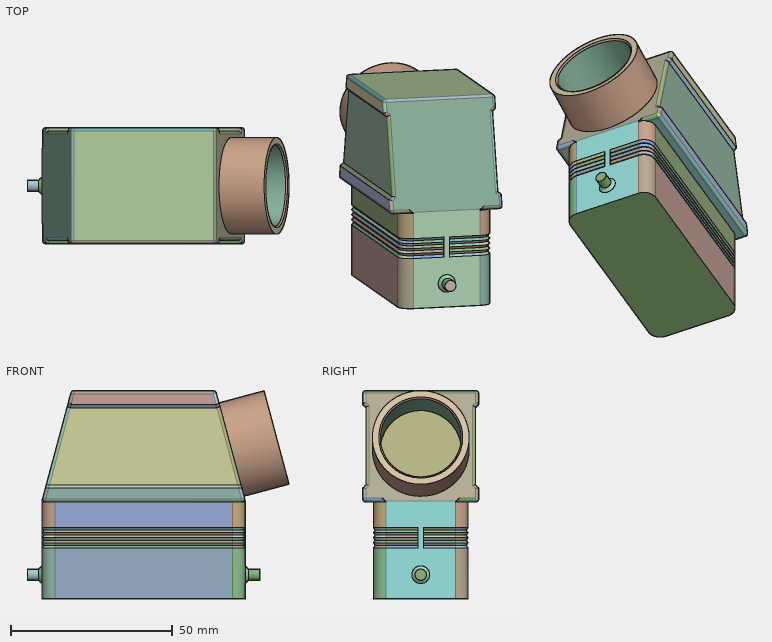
import cadquery as cq
import math

base_length = 63.0
base_width = 29.4
base_height = 30.0
base_corner_radius = 4.0

total_height = 64.5
hood_width = 36.0
hood_overhang = 0.1
slope_angle = 15.0
hood_edge_radius = 1.0
recess_depth = 1.0
recess_bottom = 34.3
recess_top = 60.2

groove_count = 4
groove_pitch = 1.575
groove_depth = 0.6
groove_bottom = 15.8
groove_gap = 1.8

pin_reach = 36.0
pin_radius = 1.75
pin_height = 7.5
collar_size = 1.0

tube_radius = 15.0
tube_end_x = 45.08
tube_end_z = 50.0
bore_radius = 12.5
bore_chamfer = 0.5

slope = math.radians(slope_angle)
hood_bottom_half = base_length / 2 + hood_overhang
hood_top_half = hood_bottom_half - (total_height - base_height) * math.tan(slope)

end_center_x = tube_end_x - tube_radius * math.sin(slope)
slope_face_x = hood_top_half + (total_height - tube_end_z) * math.tan(slope)
tube_length = (end_center_x - slope_face_x) * math.cos(slope)
tube_mouth = cq.Plane(
    origin=(end_center_x, 0, tube_end_z),
    xDir=(0, 1, 0),
    normal=(math.cos(slope), 0, math.sin(slope)),
)

overlap = 1.0


def make_base():
    """Rounded box, before the grip grooves are cut."""
    base = cq.Workplane("XY").box(base_length, base_width, base_height, centered=(True, True, False))
    return base.edges("|Z").fillet(base_corner_radius)


def hood_trapezoid():
    """Sharp-edged hood block, centred on the XZ plane."""
    return (
        cq.Workplane("XZ")
        .moveTo(-hood_bottom_half, base_height)
        .lineTo(hood_bottom_half, base_height)
        .lineTo(hood_top_half, total_height)
        .lineTo(-hood_top_half, total_height)
        .close()
        .extrude(hood_width / 2, both=True)
    )


def make_hood():
    """Trapezoid along X with a shallow recess across both Y sides and rounded edges."""
    half_width = hood_width / 2
    recess = (
        cq.Workplane("YZ")
        .moveTo(half_width, recess_bottom)
        .lineTo(half_width - recess_depth, recess_bottom + recess_depth)
        .lineTo(half_width - recess_depth, recess_top - recess_depth)
        .lineTo(half_width, recess_top)
        .close()
        .extrude(hood_bottom_half, both=True)
    )
    hood = hood_trapezoid().cut(recess).cut(recess.mirror("XZ"))
    outer_edges = hood.faces("<X or >X or <Z or >Z").edges()
    return outer_edges.fillet(hood_edge_radius)


def make_end_fill():
    """Fill under the hood's rounded lower edge, flush with the flat part of the base ends."""
    flat_half = base_width / 2 - base_corner_radius
    fill_height = 2 * hood_edge_radius
    limits = (
        cq.Workplane("YZ")
        .moveTo(-flat_half, base_height)
        .lineTo(flat_half, base_height)
        .lineTo(flat_half + fill_height, base_height + fill_height)
        .lineTo(-flat_half - fill_height, base_height + fill_height)
        .close()
        .extrude(base_length / 2, both=True)
    )
    return hood_trapezoid().intersect(limits)


def make_grooves():
    """V-section rings to cut: each is a slice of the base less a core waisted at mid-height."""
    half_pitch = groove_pitch / 2
    taper = math.degrees(math.atan2(groove_depth, half_pitch))
    outline = cq.Sketch().rect(base_length, base_width).vertices().fillet(base_corner_radius)
    sole = cq.Workplane("XY", origin=(0, 0, groove_bottom)).placeSketch(outline)
    lower_core = sole.extrude(half_pitch, taper=taper)
    upper_core = lower_core.mirror("XY", (0, 0, groove_bottom + half_pitch))
    gap_bridge = cq.Workplane("XY").box(base_length, groove_gap, 2 * base_height)
    ring = sole.extrude(groove_pitch).cut(lower_core).cut(upper_core).cut(gap_bridge)
    return [ring.translate((0, 0, index * groove_pitch)) for index in range(groove_count)]


def make_pin():
    """Pin on the -X end with a conical collar at its root."""
    root = -base_length / 2
    return (
        cq.Workplane("XZ", origin=(0, 0, pin_height))
        .moveTo(root + overlap, 0)
        .lineTo(root + overlap, pin_radius + collar_size)
        .lineTo(root, pin_radius + collar_size)
        .lineTo(root - collar_size, pin_radius)
        .lineTo(-pin_reach, pin_radius)
        .lineTo(-pin_reach, 0)
        .close()
        .revolve(360, (0, 0, 0), (1, 0, 0))
    )


def make_tube():
    """Solid tube, sunk slightly into the hood."""
    return cq.Workplane(tube_mouth).circle(tube_radius).extrude(-(tube_length + overlap))


def make_bore():
    """Bore with a chamfered mouth, ending at the hood's slope."""
    bore = cq.Workplane(tube_mouth).circle(bore_radius).extrude(-tube_length)
    mouth = (
        cq.Workplane(tube_mouth)
        .circle(bore_radius + bore_chamfer)
        .workplane(offset=-bore_chamfer)
        .circle(bore_radius)
        .loft()
    )
    return bore.union(mouth)


hood = make_hood().union(make_end_fill())
pin = make_pin()
base = make_base()
for groove in make_grooves():
    base = base.cut(groove)
result = base.union(hood)
result = result.union(make_tube()).cut(make_bore())
result = result.union(pin).union(pin.mirror("YZ"))